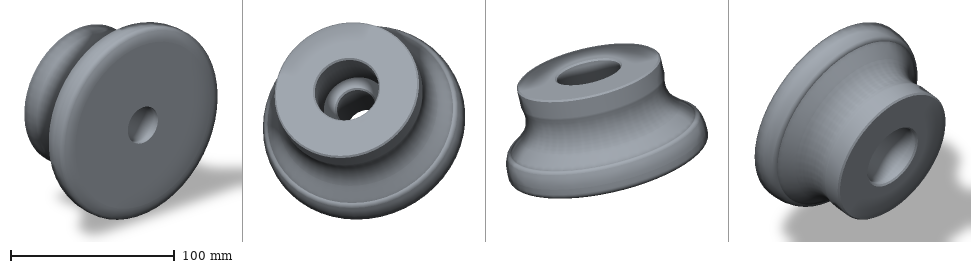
import cadquery as cq
import math

length = 60.0
rim_radius = 62.5

hub_radius = 45.0
edge_chamfer = 1.0
hub_end = 11.7
hub_blend = 5.0

neck_curve = 20.0
neck_center_x = 19.1
neck_exit_angle = math.radians(45)
cone_end = 41.1

shoulder_fillet = 3.0
crown_curve = 20.0
crown_end = 51.6
band_end = 55.1
corner_fillet = 3.5
corner_angle = math.radians(30)

counterbore_radius = 20.0
counterbore_depth = 28.0
bore_radius = 12.0


def on_circle(center, radius, angle):
    """Point on a circle, with the angle measured from the outward radial direction toward +X."""
    return center[0] + radius * math.sin(angle), center[1] + radius * math.cos(angle)


def arc(sketch, center, radius, start, end):
    """Continue the profile along an arc between two angles."""
    middle = on_circle(center, radius, (start + end) / 2)
    return sketch.threePointArc(middle, on_circle(center, radius, end))


def outer_body():
    blend_center = (hub_end, hub_radius - hub_blend)
    blend_angle = math.asin((neck_center_x - hub_end) / (hub_blend + neck_curve))
    neck_center = on_circle(blend_center, hub_blend + neck_curve, blend_angle)

    crown_center = (crown_end, rim_radius - crown_curve)
    shoulder_x = cone_end + shoulder_fillet
    crown_angle = math.asin((shoulder_x - crown_end) / (crown_curve - shoulder_fillet))
    shoulder_center = on_circle(crown_center, crown_curve - shoulder_fillet, crown_angle)

    corner_center = (band_end, rim_radius - corner_fillet)
    dome_angle = math.pi / 2 - corner_angle
    corner_end_x = on_circle(corner_center, corner_fillet, dome_angle)[0]
    dome_curve = (length - corner_end_x) / (1 - math.sin(dome_angle))
    dome_center = on_circle(corner_center, corner_fillet - dome_curve, dome_angle)

    profile = (
        cq.Workplane("XY")
        .moveTo(0, 0)
        .lineTo(0, hub_radius - edge_chamfer)
        .lineTo(edge_chamfer, hub_radius)
        .lineTo(hub_end, hub_radius)
    )
    profile = arc(profile, blend_center, hub_blend, 0, blend_angle)
    profile = arc(profile, neck_center, neck_curve, math.pi + blend_angle, math.pi - neck_exit_angle)
    profile = profile.lineTo(cone_end, shoulder_center[1])
    profile = arc(profile, shoulder_center, shoulder_fillet, -math.pi / 2, crown_angle)
    profile = arc(profile, crown_center, crown_curve, crown_angle, 0)
    profile = profile.lineTo(band_end, rim_radius)
    profile = arc(profile, corner_center, corner_fillet, 0, dome_angle)
    profile = arc(profile, dome_center, dome_curve, dome_angle, math.pi / 2)
    profile = profile.lineTo(length, 0).close()
    return profile.revolve(360, (0, 0, 0), (1, 0, 0))


def chamfered_hole(start, end, radius):
    """Cutter along X with a chamfer widening its mouth at the start."""
    return (
        cq.Workplane("XY")
        .moveTo(start, 0)
        .lineTo(start, radius + edge_chamfer)
        .lineTo(start + edge_chamfer, radius)
        .lineTo(end, radius)
        .lineTo(end, 0)
        .close()
        .revolve(360, (0, 0, 0), (1, 0, 0))
    )


counterbore = chamfered_hole(0, counterbore_depth, counterbore_radius)
through_bore = chamfered_hole(counterbore_depth, length, bore_radius)
result = outer_body().cut(counterbore).cut(through_bore)